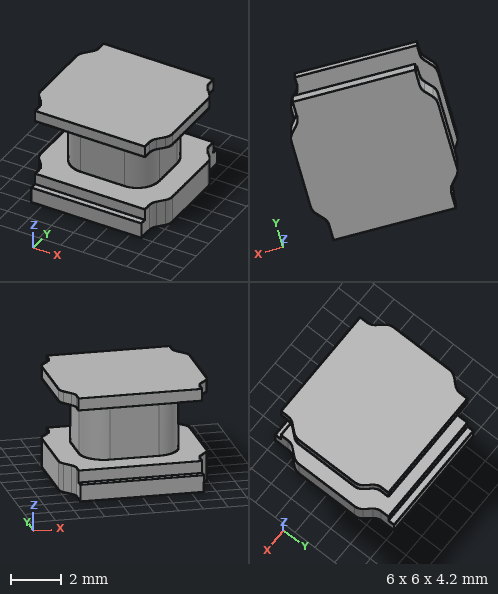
import cadquery as cq

length = 6.0
width = 6.0
height = 4.2

base_thickness = 1.2
top_thickness = 0.5
flange_width = 5.425
end_length = 5.005
corner_inner_y = 1.59
corner_outer_y = 2.165
corner_radius = 0.5

step_height = 0.7

post_length = 4.0
post_width = 3.4
post_radius = 1.0


def flange(overall_width, thickness, bottom_z):
    """Plate with four slanted, smoothly blended corners, extended to overall_width along Y."""
    half_length = length / 2
    half_end = end_length / 2
    half_width = overall_width / 2
    outline = [
        (half_length, -corner_inner_y),
        (half_length, corner_inner_y),
        (half_end, corner_outer_y),
        (half_end, half_width),
        (-half_end, half_width),
        (-half_end, corner_outer_y),
        (-half_length, corner_inner_y),
        (-half_length, -corner_inner_y),
        (-half_end, -corner_outer_y),
        (-half_end, -half_width),
        (half_end, -half_width),
        (half_end, -corner_outer_y),
    ]
    plate = cq.Workplane("XY").workplane(offset=bottom_z).polyline(outline).close().extrude(thickness)

    blend_limit_y = (corner_outer_y + half_width) / 2
    blend_zone = cq.selectors.BoxSelector(
        (-length, -blend_limit_y, bottom_z),
        (length, blend_limit_y, bottom_z + thickness),
    )
    return plate.edges("|Z").edges(blend_zone).fillet(corner_radius)


def winding_post():
    """Rounded rectangular post between the two flanges."""
    post_height = height - base_thickness - top_thickness
    return (
        cq.Workplane("XY")
        .workplane(offset=base_thickness)
        .rect(post_length, post_width)
        .extrude(post_height)
        .edges("|Z")
        .fillet(post_radius)
    )


base_lower = flange(width, step_height, 0)
base_upper = flange(flange_width, base_thickness - step_height, step_height)
top_flange = flange(flange_width, top_thickness, height - top_thickness)

result = base_lower.union(base_upper).union(winding_post()).union(top_flange).clean()